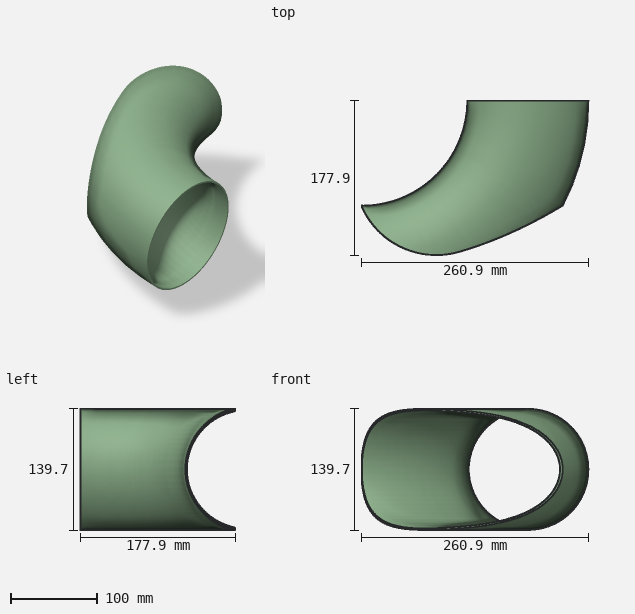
import cadquery as cq
import math

OUTER_DIAMETER = 139.7
WALL = 2.0
BEND_RADIUS = 190.5
END_STUB = 0.5

TRIM_BLEND_RADIUS = 94.0
BLEND_TANGENT_X = 111.65

CLEARANCE = 20.0

outer_radius = OUTER_DIAMETER / 2
inner_radius = outer_radius - WALL


def bent_rod(radius):
    """Solid rod swept through a quarter bend, with the straight stub at its far end."""
    bend = (
        cq.Workplane("XZ")
        .center(BEND_RADIUS, 0)
        .circle(radius)
        .revolve(90, (-BEND_RADIUS, 0, 0), (-BEND_RADIUS, -1, 0))
    )
    stub = cq.Workplane("YZ").center(-BEND_RADIUS, 0).circle(radius).extrude(-END_STUB)
    return bend.union(stub)


def saddle_y(x):
    """Parabola in plan along which the bend meets an equal run pipe centred on y = -BEND_RADIUS."""
    return x**2 / (4 * BEND_RADIUS) - BEND_RADIUS


def saddle_slope(x):
    """Slope of the saddle parabola in plan."""
    return x / (2 * BEND_RADIUS)


def trim_block():
    """Everything beyond the trim line: tip arc followed by the saddle parabola."""
    left = -END_STUB - CLEARANCE
    right = BEND_RADIUS + outer_radius + CLEARANCE
    bottom = -BEND_RADIUS - outer_radius - CLEARANCE

    tangent_y = saddle_y(BLEND_TANGENT_X)
    tangent_angle = math.atan(saddle_slope(BLEND_TANGENT_X))
    arc_x = BLEND_TANGENT_X - TRIM_BLEND_RADIUS * math.sin(tangent_angle)
    arc_y = tangent_y + TRIM_BLEND_RADIUS * math.cos(tangent_angle)

    start_x = -END_STUB
    start_y = arc_y - math.sqrt(TRIM_BLEND_RADIUS**2 - (start_x - arc_x) ** 2)

    control_x = (BLEND_TANGENT_X + right) / 2
    control_y = tangent_y + saddle_slope(BLEND_TANGENT_X) * (control_x - BLEND_TANGENT_X)

    return (
        cq.Workplane("XY")
        .workplane(offset=-outer_radius - CLEARANCE)
        .moveTo(left, bottom)
        .lineTo(left, start_y)
        .lineTo(start_x, start_y)
        .threePointArc((arc_x, arc_y - TRIM_BLEND_RADIUS), (BLEND_TANGENT_X, tangent_y))
        .bezier(
            [(BLEND_TANGENT_X, tangent_y), (control_x, control_y), (right, saddle_y(right))]
        )
        .lineTo(right, bottom)
        .close()
        .extrude(2 * (outer_radius + CLEARANCE))
    )


elbow = bent_rod(outer_radius).cut(bent_rod(inner_radius))
result = elbow.cut(trim_block())